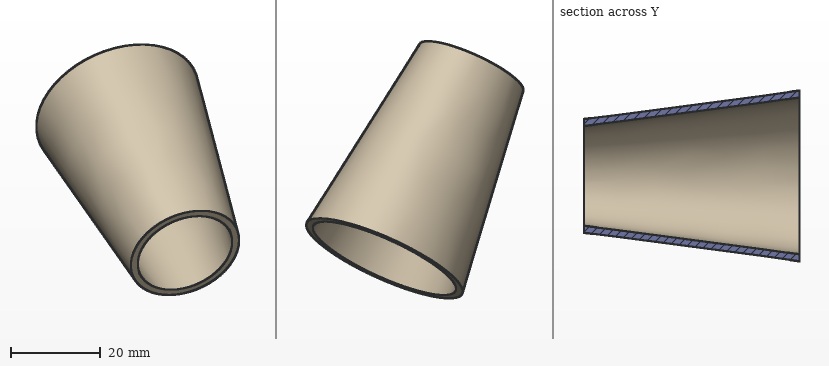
import cadquery as cq

length = 48.0
large_diameter = 38.1
small_diameter = 25.4
wall = 1.65


def cone(start_diameter, end_diameter):
    """Solid truncated cone along +X, from its start face at X = 0."""
    return (
        cq.Workplane("YZ")
        .circle(start_diameter / 2)
        .workplane(offset=length)
        .circle(end_diameter / 2)
        .loft(ruled=True)
    )


outer = cone(large_diameter, small_diameter)
bore = cone(large_diameter - 2 * wall, small_diameter - 2 * wall)

result = outer.cut(bore)